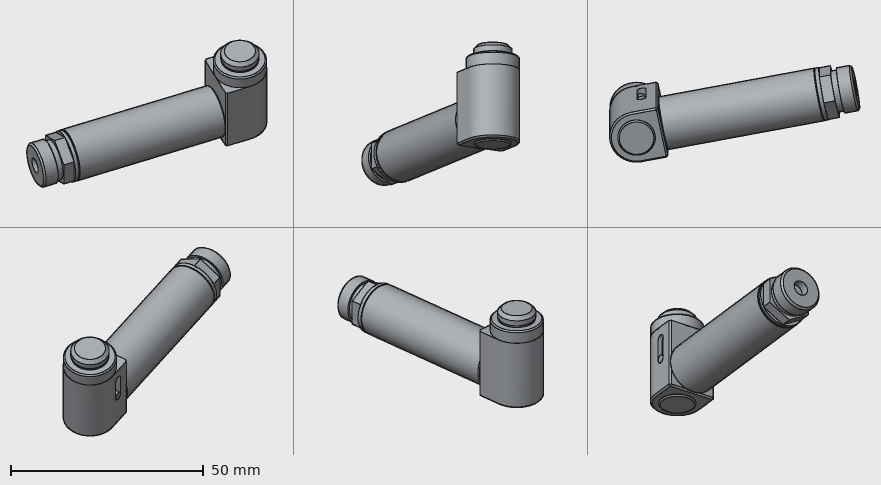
import cadquery as cq
import math


head_width = 14.0
head_radius = head_width / 2
head_bottom = -head_radius
head_top = 12.5
head_chamfer = 0.45

ring_diameter = 13.85
ring_top = 16.0
ring_chamfer = 0.4
boss_diameter = 9.75
boss_top = 16.5
sleeve_diameter = 12.0
sleeve_bottom = 0.0

button_diameter = 10.0
button_top = 19.05
button_chamfer = 1.0

foot_diameter = 9.75
foot_height = 0.45
foot_chamfer = 0.4

slot_width = 2.35
slot_length = 8.25
slot_bottom = 1.7
slot_y = -2.65
pin_diameter = 2.2
pin_length = 3.0
pin_z = slot_bottom + slot_width / 2

tube_diameter = head_width
tube_chamfer = 0.25
overall_length = 65.0
arm_length = overall_length - head_width
fitting_length = 9.5
tube_length = arm_length - fitting_length

hex_across_flats = 12.0
hex_across_corners = hex_across_flats / math.cos(math.radians(30))
collar_diameter = hex_across_corners
collar_length = 1.05
hex_length = 2.9
neck_diameter = 10.9
neck_length = 1.55
end_diameter = hex_across_flats
end_length = fitting_length - collar_length - hex_length - neck_length
end_chamfer = 0.5
bore_diameter = 4.1
bore_depth = 2.5


def upright_cylinder(diameter, bottom, top):
    return cq.Workplane("XY", origin=(0, 0, bottom)).circle(diameter / 2).extrude(top - bottom)


def arm_section(distance):
    """Plane across the arm, facing -Y, at a distance in front of the head."""
    return cq.Workplane("XZ", origin=(0, -head_radius - distance, 0))


def side_plane():
    """Plane of the -X side of the head, facing inward: its local axes are Y and Z."""
    return cq.Workplane("YZ", origin=(-head_radius, 0, 0))


def make_sleeve():
    return upright_cylinder(sleeve_diameter, sleeve_bottom, head_top)


def make_pin():
    return side_plane().center(slot_y, pin_z).circle(pin_diameter / 2).extrude(pin_length)


def make_head():
    block = (
        cq.Workplane("XY", origin=(0, 0, head_bottom))
        .moveTo(-head_radius, -head_radius)
        .lineTo(head_radius, -head_radius)
        .lineTo(head_radius, 0)
        .threePointArc((0, head_radius), (-head_radius, 0))
        .close()
        .extrude(head_top - head_bottom)
    )
    block = block.edges("|Z and <Y").chamfer(head_chamfer)
    block = block.faces("<Z").edges().chamfer(head_chamfer)
    slot = (
        side_plane()
        .center(slot_y, slot_bottom + slot_length / 2)
        .slot2D(slot_length, slot_width, 90)
        .extrude(head_radius)
    )
    return block.cut(make_sleeve()).cut(slot)


def make_cap():
    ring = upright_cylinder(ring_diameter, head_top, ring_top)
    ring = ring.faces(">Z").edges().chamfer(ring_chamfer)
    boss = upright_cylinder(boss_diameter, ring_top, boss_top)
    return ring.union(boss).union(make_sleeve()).cut(make_pin())


def make_button():
    button = upright_cylinder(button_diameter, boss_top, button_top)
    return button.faces(">Z").edges().chamfer(button_chamfer)


def make_foot():
    foot = upright_cylinder(foot_diameter, head_bottom - foot_height, head_bottom)
    return foot.faces("<Z").edges().chamfer(foot_chamfer)


def make_tube():
    tube = arm_section(0).circle(tube_diameter / 2).extrude(tube_length)
    return tube.faces("<Y or >Y").edges().chamfer(tube_chamfer)


def make_fitting():
    hex_start = tube_length + collar_length
    neck_start = hex_start + hex_length
    end_start = neck_start + neck_length
    collar = arm_section(tube_length).circle(collar_diameter / 2).extrude(collar_length)
    hexagon = (
        arm_section(hex_start)
        .transformed(rotate=(0, 0, 90))
        .polygon(6, hex_across_corners)
        .extrude(hex_length)
    )
    neck = arm_section(neck_start).circle(neck_diameter / 2).extrude(neck_length)
    end = arm_section(end_start).circle(end_diameter / 2).extrude(end_length)
    end = end.faces("<Y").edges().chamfer(end_chamfer)
    bore = arm_section(arm_length - bore_depth).circle(bore_diameter / 2).extrude(bore_depth)
    return collar.union(hexagon).union(neck).union(end).cut(bore)


head = make_head()
cap = make_cap()
button = make_button()
foot = make_foot()
pin = make_pin()
tube = make_tube()
fitting = make_fitting()

result = cq.Compound.makeCompound(
    [head.val(), cap.val(), button.val(), foot.val(), pin.val(), tube.val(), fitting.val()]
)